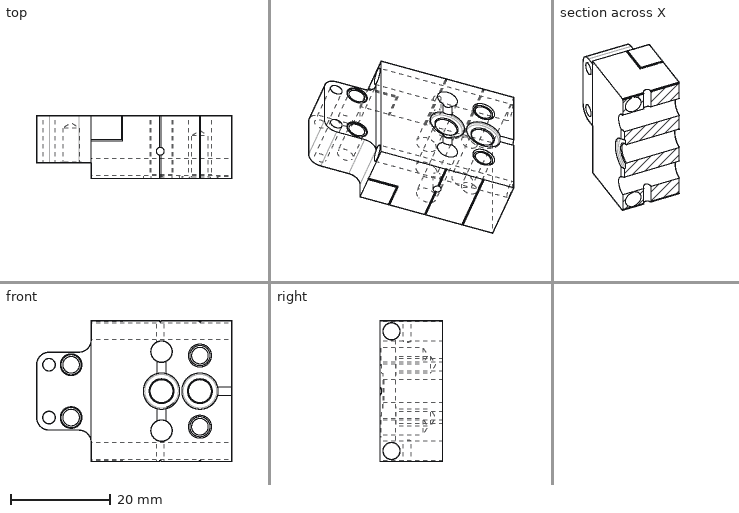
import cadquery as cq
import math

total_length = 39.45
block_side = 28.45
block_depth = 12.7
block_left = total_length - block_side
block_top = block_side / 2

tab_height = 15.78
tab_front = 3.15
tab_corner_radius = 2.6
tab_root_radius = 2.4

port_x = block_left + block_side / 2
second_port_x = 32.98
port_bore = 4.6
port_bore_chamfer = 0.2
seat_diameter = 7.35
seat_depth = 0.65
seat_fillet = 0.28
passage_diameter = 4.25
passage_offset = 7.95
feed_channel_width = 1.9
side_channel_width = 1.78
channel_depth = 0.4
vent_diameter = 1.58
vent_x = 24.97
vent_y = 5.52

drill_tip_angle = 118.0
drill_diameter = 3.35
block_drill_depth = 8.68
tab_drill_depth = 7.1
recess_floor_diameter = 4.05
block_mouth_diameter = 4.65
block_drill_offset = 7.18
tab_mouth_diameter = 4.38
tab_drill_x = 7.0
tab_hole_offset = 5.33

tab_pin_diameter = 2.5
tab_pin_x = 2.52
cross_bore_diameter = 3.4
cross_bore_y = 2.35
cross_bore_offset = 12.07

groove_width = 0.25
groove_depth = 0.2
corner_groove_x = 17.25
corner_groove_y = 7.75

TO_BACK = cq.Vector(0, 1, 0)
TO_RIGHT = cq.Vector(1, 0, 0)
UP = cq.Vector(0, 0, 1)


def cylinder(diameter, start, length, direction):
    """Round bar that begins at start and runs along direction."""
    return cq.Workplane(cq.Solid.makeCylinder(diameter / 2, length, cq.Vector(*start), direction))


def cone_to_back(front_diameter, back_diameter, start, length):
    """Cone along +Y, used for chamfered mouths and drill tips."""
    cone = cq.Solid.makeCone(front_diameter / 2, back_diameter / 2, length, cq.Vector(*start), TO_BACK)
    return cq.Workplane(cone)


def make_block():
    size = (block_side, block_depth, block_side)
    return cq.Workplane("XY").box(*size).translate((port_x, block_depth / 2, 0))


def make_tab():
    """Rounded plate whose root flares tangentially into the block."""
    half = tab_height / 2
    root_x = block_left - tab_root_radius
    root_z = half + tab_root_radius
    corner_inset = tab_corner_radius * (1 - math.sqrt(0.5))
    root_inset = tab_root_radius * (1 - math.sqrt(0.5))
    profile = (
        cq.Workplane("XZ", origin=(0, block_depth, 0))
        .moveTo(block_left, -root_z)
        .threePointArc((block_left - root_inset, -half - root_inset), (root_x, -half))
        .lineTo(tab_corner_radius, -half)
        .threePointArc((corner_inset, corner_inset - half), (0, tab_corner_radius - half))
        .lineTo(0, half - tab_corner_radius)
        .threePointArc((corner_inset, half - corner_inset), (tab_corner_radius, half))
        .lineTo(root_x, half)
        .threePointArc((block_left - root_inset, half + root_inset), (block_left, root_z))
        .close()
    )
    return profile.extrude(block_depth - tab_front)


def port_cut(x):
    """Through bore with a chamfered rim, opening into a flat seat with a rounded floor corner."""
    bore_mouth = port_bore + 2 * port_bore_chamfer
    seat = cylinder(seat_diameter, (x, 0, 0), seat_depth, TO_BACK)
    seat = seat.faces(">Y").edges().fillet(seat_fillet)
    cut = seat.union(cylinder(port_bore, (x, 0, 0), block_depth, TO_BACK))
    return cut.union(cone_to_back(bore_mouth, port_bore, (x, seat_depth, 0), port_bore_chamfer))


def drilled_hole_cut(start, depth, mouth_diameter):
    """Blind hole: tapered recess with a flat floor, straight drill and conical tip."""
    x, y, z = start
    recess_depth = (mouth_diameter - recess_floor_diameter) / 2
    tip_length = drill_diameter / 2 / math.tan(math.radians(drill_tip_angle / 2))
    cut = cylinder(drill_diameter, start, depth, TO_BACK)
    cut = cut.union(cone_to_back(mouth_diameter, recess_floor_diameter, start, recess_depth))
    return cut.union(cone_to_back(drill_diameter, 0, (x, y + depth, z), tip_length))


def channel_cut(width, start, length, direction):
    """Shallow arc-bottomed channel in the front face, start being on that face."""
    radius = (width ** 2 / 4 + channel_depth ** 2) / (2 * channel_depth)
    axis_start = (start[0], channel_depth - radius, start[2])
    return cylinder(2 * radius, axis_start, length, direction)


def groove_cut(x_range, y_range, side):
    """Shallow groove in the top (side 1) or bottom (side -1) face."""
    length = x_range[1] - x_range[0]
    width = y_range[1] - y_range[0]
    center = (x_range[0] + length / 2, y_range[0] + width / 2, side * block_top)
    return cq.Workplane("XY").box(length, width, 2 * groove_depth).translate(center)


def groove_span(center):
    return (center - groove_width / 2, center + groove_width / 2)


result = make_block().union(make_tab())

for x in (port_x, second_port_x):
    result = result.cut(port_cut(x))

feed_start = (port_x, 0, -passage_offset)
result = result.cut(channel_cut(feed_channel_width, feed_start, 2 * passage_offset, UP))
side_start = (second_port_x, 0, 0)
result = result.cut(channel_cut(side_channel_width, side_start, total_length - second_port_x, TO_RIGHT))

for side in (1, -1):
    passage_z = side * passage_offset
    result = result.cut(cylinder(passage_diameter, (port_x, 0, passage_z), block_depth, TO_BACK))
    vent_start = (vent_x, vent_y, passage_z)
    result = result.cut(cylinder(vent_diameter, vent_start, block_top - passage_offset, UP * side))

    block_drill_start = (second_port_x, 0, side * block_drill_offset)
    result = result.cut(drilled_hole_cut(block_drill_start, block_drill_depth, block_mouth_diameter))
    tab_drill_start = (tab_drill_x, tab_front, side * tab_hole_offset)
    result = result.cut(drilled_hole_cut(tab_drill_start, tab_drill_depth, tab_mouth_diameter))
    tab_pin_start = (tab_pin_x, tab_front, side * tab_hole_offset)
    result = result.cut(cylinder(tab_pin_diameter, tab_pin_start, block_depth - tab_front, TO_BACK))

    cross_start = (block_left, cross_bore_y, side * cross_bore_offset)
    result = result.cut(cylinder(cross_bore_diameter, cross_start, block_side, TO_RIGHT))

    for x in (vent_x, second_port_x):
        result = result.cut(groove_cut(groove_span(x), (0, block_depth), side))
    corner_x_span = groove_span(corner_groove_x)
    corner_y_span = groove_span(corner_groove_y)
    result = result.cut(groove_cut(corner_x_span, (corner_y_span[0], block_depth), side))
    result = result.cut(groove_cut((block_left, corner_x_span[1]), corner_y_span, side))